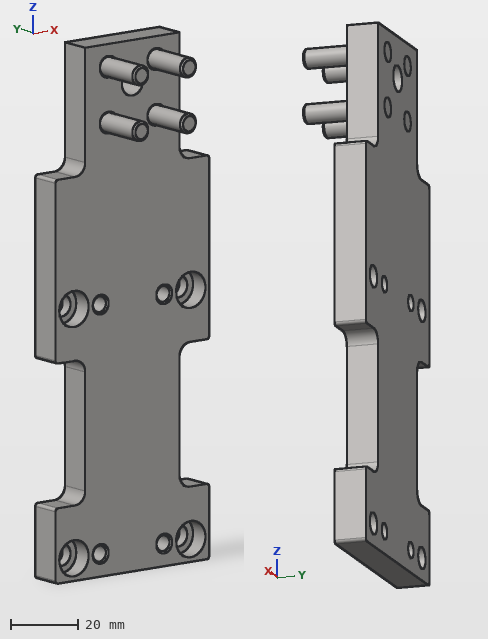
import cadquery as cq

plate_height = 162.0
plate_width = 58.0
plate_thickness = 9.9
neck_width = 35.6
foot_height = 23.0
shoulder_bottom = 67.0
shoulder_top = 123.1
inner_radius = 3.9
corner_radius = 1.0

screw_hole_diameter = 6.6
counterbore_diameter = 11.0
counterbore_depth = 6.0
screw_spacing = 44.0
small_hole_diameter = 4.9
small_hole_mouth_diameter = 6.0
small_hole_spacing = 24.0
hole_row_heights = (7.0, 83.0)

neck_hole_diameter = 8.0
neck_hole_height = 149.0

pin_diameter = 6.0
pin_chamfer = 0.6
pin_projection = 16.0
pin_spacing = 18.0
pin_heights = (138.0, 155.0)
pin_hole_mouth_diameter = 6.6


def front_plane():
    """Plane of the plate's front face; local z points out of the plate toward -Y."""
    return cq.Workplane("XZ")


def mirrored_points(spacing, heights):
    """Pairs of points placed symmetrically about the plate's centre line."""
    return [(side * spacing / 2, height) for height in heights for side in (-1, 1)]


def block(width, bottom, top):
    """Full-thickness block centred on X between two heights."""
    return front_plane().center(0, (bottom + top) / 2).rect(width, top - bottom).extrude(-plate_thickness)


def corner_selector(width, heights):
    """Selector for the through-thickness edges at the given heights and width."""
    selector = None
    margin = 0.2
    for x, z in mirrored_points(width, heights):
        box = cq.selectors.BoxSelector(
            (x - margin, -margin, z - margin),
            (x + margin, plate_thickness + margin, z + margin),
        )
        selector = box if selector is None else selector + box
    return selector


def make_plate_blank():
    """Neck crossed by two wider bands, with rounded corners."""
    blank = block(neck_width, 0, plate_height)
    blank = blank.union(block(plate_width, 0, foot_height))
    blank = blank.union(block(plate_width, shoulder_bottom, shoulder_top))
    step_heights = (foot_height, shoulder_bottom, shoulder_top)
    blank = blank.edges("|Y").edges(corner_selector(neck_width, step_heights)).fillet(inner_radius)
    return blank.edges("|Y").edges(corner_selector(plate_width, (0, *step_heights))).fillet(corner_radius)


def cut_screw_holes(plate):
    points = mirrored_points(screw_spacing, hole_row_heights)
    bores = front_plane().pushPoints(points).circle(screw_hole_diameter / 2).extrude(-plate_thickness)
    heads = front_plane().pushPoints(points).circle(counterbore_diameter / 2).extrude(-counterbore_depth)
    return plate.cut(bores).cut(heads)


def cut_countersunk_holes(plate, points, hole_diameter, mouth_diameter):
    """Through holes with a 45 degree countersink at the front face."""
    countersink_depth = (mouth_diameter - hole_diameter) / 2
    for x, z in points:
        bore = front_plane().center(x, z).circle(hole_diameter / 2).extrude(-plate_thickness)
        countersink = (
            front_plane().center(x, z).circle(mouth_diameter / 2)
            .workplane(offset=-countersink_depth).circle(hole_diameter / 2).loft()
        )
        plate = plate.cut(bore).cut(countersink)
    return plate


def cut_neck_hole(plate):
    hole = front_plane().center(0, neck_hole_height).circle(neck_hole_diameter / 2).extrude(-plate_thickness)
    return plate.cut(hole)


def make_plate():
    plate = make_plate_blank()
    plate = cut_screw_holes(plate)
    small_hole_points = mirrored_points(small_hole_spacing, hole_row_heights)
    plate = cut_countersunk_holes(plate, small_hole_points, small_hole_diameter, small_hole_mouth_diameter)
    pin_points = mirrored_points(pin_spacing, pin_heights)
    plate = cut_countersunk_holes(plate, pin_points, pin_diameter, pin_hole_mouth_diameter)
    return cut_neck_hole(plate)


def make_pin(x, z):
    """Pin through the plate, flush with the back face and chamfered at its free end."""
    pin_length = plate_thickness + pin_projection
    pin = (
        front_plane().workplane(offset=-plate_thickness)
        .center(x, z).circle(pin_diameter / 2).extrude(pin_length)
    )
    return pin.faces("<Y").chamfer(pin_chamfer)


plate = make_plate()
pins = [make_pin(x, z) for x, z in mirrored_points(pin_spacing, pin_heights)]

result = cq.Compound.makeCompound([plate.val(), *(pin.val() for pin in pins)])